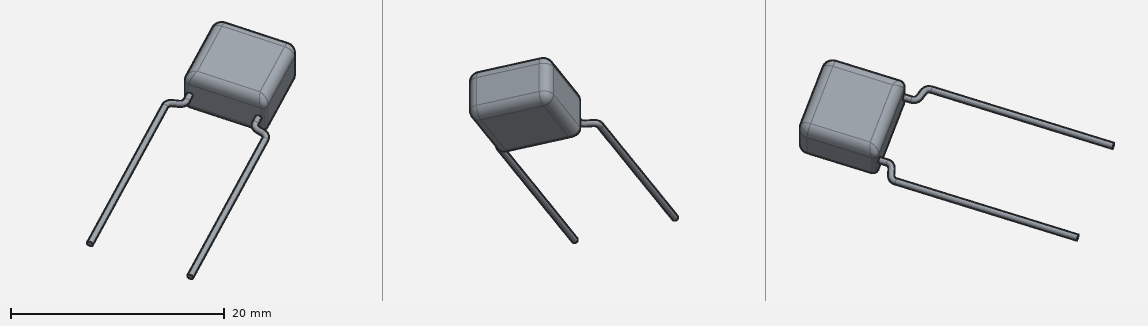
import cadquery as cq

total_length = 28.15
total_width = 10.8

housing_width = 8.4
housing_length = 7.95
housing_height = 5.07
edge_radius = 1.0
front_corner_radius = 0.5

lead_diameter = 0.62
inner_lead_x = 3.5
outer_lead_x = (total_width - lead_diameter) / 2
lead_end_y = housing_length - total_length
bend_start_y = -0.75
bend_end_y = -2.2
bend_handle = 1.05


def make_housing():
    """Block with rounded edges, smaller in radius on the two upright front edges; the front rim is round too."""
    block = cq.Workplane("XY").box(housing_width, housing_length, housing_height)
    block = block.translate((0, housing_length / 2, 0))
    block = block.edges("|Z and <Y").fillet(front_corner_radius)
    block = block.edges("|Z and >Y").fillet(edge_radius)
    return block.faces("<Z or >Z").edges().fillet(edge_radius)


def make_lead(side):
    """Round wire with an outward S-bend; side is -1 for the left lead and 1 for the right."""
    inner_x = side * inner_lead_x
    outer_x = side * outer_lead_x
    bend_points = [
        (inner_x, bend_start_y),
        (inner_x, bend_start_y - bend_handle),
        (outer_x, bend_end_y + bend_handle),
        (outer_x, bend_end_y),
    ]
    path = (
        cq.Workplane("XY")
        .moveTo(inner_x, 0)
        .lineTo(inner_x, bend_start_y)
        .bezier(bend_points)
        .lineTo(outer_x, lead_end_y)
    )
    section = cq.Workplane("XZ").center(inner_x, 0).circle(lead_diameter / 2)
    return section.sweep(path)


housing = make_housing()
leads = [make_lead(side) for side in (-1, 1)]

result = cq.Compound.makeCompound([housing.val(), *[lead.val() for lead in leads]])